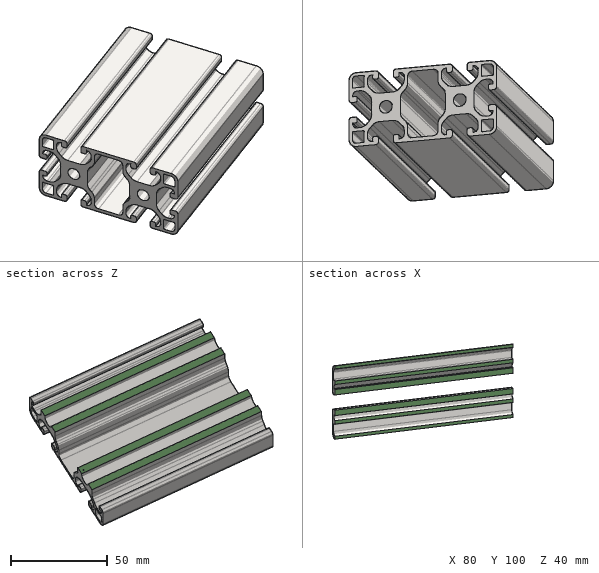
import cadquery as cq
import math

length = 100.0
cell = 40.0
width = 2 * cell
half_width = width / 2
half_height = cell / 2
cell_center = cell / 2
outer_radius = 4.0

opening_half = 4.0
lip_width = 3.2
lip_depth = 4.5
lip_outer_radius = 1.5
lip_tip_radius = 1.0
slot_half = 10.0
slot_depth = 12.3
face_wall = 2.0
undercut_radius = 2.6
slot_chamfer = 4.4
slot_chamfer_radius = 5.0

channel_diameter = 6.8

hollow_wall = 1.8
hollow_size = 6.4
hollow_outer_radius = 2.2
hollow_inner_radius = 0.5

slot_side_wall = 1.8
cavity_half = cell_center - slot_half - slot_side_wall
core_to_cavity = 7.8
cavity_corner_radius = 2.5
cavity_neck_half = 5.8
cavity_bend_radius = 5.0
cavity_neck_radius = cavity_bend_radius


def rounded_prism(corners):
    """Extrude a closed polygon of (x, z, radius) corners, each rounded by a tangent arc."""
    outline = None
    count = len(corners)
    for index in range(count):
        x, z, radius = corners[index]
        here = cq.Vector(x, z)
        to_previous = (cq.Vector(*corners[index - 1][:2]) - here).normalized()
        to_next = (cq.Vector(*corners[(index + 1) % count][:2]) - here).normalized()
        half_angle = to_previous.getAngle(to_next) / 2
        setback = radius / math.tan(half_angle)
        arc_start = here + to_previous * setback
        arc_end = here + to_next * setback
        bisector = (to_previous + to_next).normalized()
        arc_middle = here + bisector * (radius / math.sin(half_angle) - radius)

        if outline is None:
            outline = cq.Workplane("XZ").moveTo(arc_start.x, arc_start.y)
        else:
            outline = outline.lineTo(arc_start.x, arc_start.y)
        if radius > 0:
            outline = outline.threePointArc((arc_middle.x, arc_middle.y), (arc_end.x, arc_end.y))
    return outline.close().extrude(length / 2, both=True)


def mirrored_all_round(quarter):
    """Complete the corners of the +X +Z quarter into the whole closed polygon."""
    right = quarter + [(x, -z, r) for x, z, r in reversed(quarter)]
    return right + [(-x, z, r) for x, z, r in reversed(right)]


def half_slot():
    """Corners of one side of a T-slot as (offset, depth, radius), from the face to the floor."""
    lip_end = opening_half + lip_width
    return [
        (opening_half, 0, lip_outer_radius),
        (opening_half, lip_depth, lip_tip_radius),
        (lip_end, lip_depth, lip_tip_radius),
        (lip_end, face_wall, 0),
        (slot_half, face_wall, undercut_radius),
        (slot_half, slot_depth - slot_chamfer, slot_chamfer_radius),
        (slot_half - slot_chamfer, slot_depth, slot_chamfer_radius),
    ]


def body():
    """Solid extrusion with two slots in the top and bottom and one in each side."""
    top_slot_inner = [(cell_center - u, half_height - v, r) for u, v, r in half_slot()]
    top_slot_outer = [(cell_center + u, half_height - v, r) for u, v, r in reversed(half_slot())]
    outer_corner = [(half_width, half_height, outer_radius)]
    side_slot = [(half_width - v, u, r) for u, v, r in half_slot()]
    return rounded_prism(mirrored_all_round(top_slot_inner + top_slot_outer + outer_corner + side_slot))


def cavity():
    """Large central opening that is widest between the two cores."""
    core_face = cell_center - core_to_cavity
    bend_height = cavity_neck_half + core_face - cavity_half
    return rounded_prism(mirrored_all_round([
        (cavity_half, half_height - face_wall, cavity_corner_radius),
        (cavity_half, bend_height, cavity_bend_radius),
        (core_face, cavity_neck_half, cavity_neck_radius),
    ]))


def corner_hollow(x_side, z_side):
    """Square channel in the outer corner on the given sides, rounder at its outer edge."""
    x_outer = x_side * (half_width - hollow_wall)
    z_outer = z_side * (half_height - hollow_wall)
    x_inner = x_outer - x_side * hollow_size
    z_inner = z_outer - z_side * hollow_size
    return rounded_prism([
        (x_outer, z_outer, hollow_outer_radius),
        (x_outer, z_inner, hollow_inner_radius),
        (x_inner, z_inner, hollow_inner_radius),
        (x_inner, z_outer, hollow_inner_radius),
    ])


def screw_channels():
    """Round channel through the middle of both cores."""
    centers = [(-cell_center, 0), (cell_center, 0)]
    return cq.Workplane("XZ").pushPoints(centers).circle(channel_diameter / 2).extrude(length / 2, both=True)


result = body().cut(cavity()).cut(screw_channels())
for x_side in (-1, 1):
    for z_side in (-1, 1):
        result = result.cut(corner_hollow(x_side, z_side))